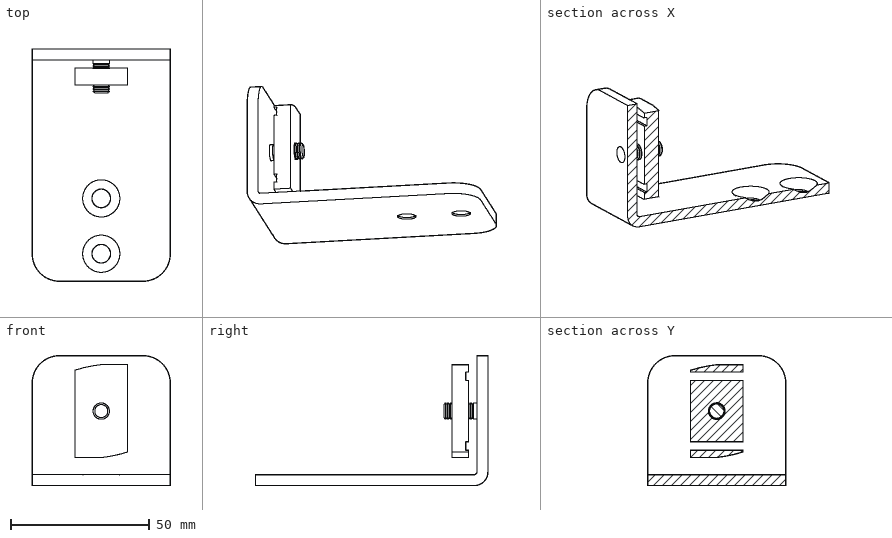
import cadquery as cq
import math

WIDTH = 50.0
LENGTH = 84.0
HEIGHT = 47.0
THICKNESS = 4.0
INNER_BEND_RADIUS = 1.0
OUTER_BEND_RADIUS = INNER_BEND_RADIUS + THICKNESS
CORNER_RADIUS = 10.0

SCREW_HOLE_DIAMETER = 6.6
COUNTERSINK_DIAMETER = 13.4
COUNTERSINK_ANGLE = 90.0
SCREW_HOLE_PITCH = 20.0
FRONT_HOLE_Y = -LENGTH + CORNER_RADIUS
SCREW_HOLE_YS = [FRONT_HOLE_Y, FRONT_HOLE_Y + SCREW_HOLE_PITCH]

BOLT_Z = 27.0
BOLT_RADIUS = 2.9
BOLT_LENGTH = 16.0
SHANK_LENGTH = 5.2
THREAD_DEPTH = 0.4
THREAD_PITCH = 0.9
THREAD_COUNT = 11
TIP_CHAMFER = BOLT_LENGTH - SHANK_LENGTH - THREAD_COUNT * THREAD_PITCH

CLAMP_WIDTH = 19.0
CLAMP_HEIGHT = 33.6
CLAMP_THICKNESS = 6.1
CLAMP_BACK_Y = -7.0
CORNER_DROP = 2.0
END_ARC_RADIUS = 50.4
GROOVE_WIDTH = 3.0
GROOVE_DEPTH = 1.0
GROOVE_END_MARGIN = 2.7


def make_bracket():
    """L-shaped plate with rounded corners, a bolt hole and two countersunk holes."""
    plate = (
        cq.Workplane("YZ")
        .polyline([
            (0, 0),
            (-LENGTH, 0),
            (-LENGTH, THICKNESS),
            (-THICKNESS, THICKNESS),
            (-THICKNESS, HEIGHT),
            (0, HEIGHT),
        ])
        .close()
        .extrude(WIDTH / 2, both=True)
    )
    inner_bend = cq.selectors.NearestToPointSelector((0, -THICKNESS, THICKNESS))
    outer_bend = cq.selectors.NearestToPointSelector((0, 0, 0))
    plate = plate.edges(inner_bend).fillet(INNER_BEND_RADIUS)
    plate = plate.edges(outer_bend).fillet(OUTER_BEND_RADIUS)
    plate = plate.faces("<Y").edges("|Z").fillet(CORNER_RADIUS)
    plate = plate.faces(">Z").edges("|Y").fillet(CORNER_RADIUS)

    plate = (
        plate.copyWorkplane(cq.Workplane("XY", origin=(0, 0, THICKNESS)))
        .pushPoints([(0, y) for y in SCREW_HOLE_YS])
        .cskHole(SCREW_HOLE_DIAMETER, COUNTERSINK_DIAMETER, COUNTERSINK_ANGLE)
    )
    return plate.cut(bolt_hole_cutter())


def bolt_hole_cutter():
    """Plain cylinder the size of the bolt, as long as the bolt."""
    return (
        cq.Workplane("XZ", origin=(0, 0, BOLT_Z))
        .circle(BOLT_RADIUS)
        .extrude(BOLT_LENGTH)
    )


def make_bolt():
    """Bolt turned about its axis: plain shank, V-shaped thread rings and a chamfered tip."""
    profile = (
        cq.Workplane("XY")
        .moveTo(0, 0)
        .lineTo(BOLT_RADIUS, 0)
        .lineTo(BOLT_RADIUS, -SHANK_LENGTH)
    )
    for ring in range(THREAD_COUNT):
        crest_y = -SHANK_LENGTH - ring * THREAD_PITCH
        profile = profile.lineTo(BOLT_RADIUS - THREAD_DEPTH, crest_y - THREAD_PITCH / 2)
        profile = profile.lineTo(BOLT_RADIUS, crest_y - THREAD_PITCH)
    profile = (
        profile.lineTo(BOLT_RADIUS - TIP_CHAMFER, -BOLT_LENGTH)
        .lineTo(0, -BOLT_LENGTH)
        .close()
    )
    return profile.revolve(360, (0, 0, 0), (0, 1, 0)).translate((0, 0, BOLT_Z))


def make_clamp():
    """Plate with one curved half at each end, two grooves across its back and a bolt hole."""
    half_width = CLAMP_WIDTH / 2
    half_height = CLAMP_HEIGHT / 2
    corner_height = half_height - CORNER_DROP
    half_chord = math.hypot(half_width, CORNER_DROP) / 2
    bulge = END_ARC_RADIUS - math.sqrt(END_ARC_RADIUS ** 2 - half_chord ** 2)
    plate = (
        cq.Workplane("XZ", origin=(0, CLAMP_BACK_Y, BOLT_Z))
        .moveTo(half_width, half_height)
        .lineTo(0, half_height)
        .sagittaArc((-half_width, corner_height), -bulge)
        .lineTo(-half_width, -half_height)
        .lineTo(0, -half_height)
        .sagittaArc((half_width, -corner_height), -bulge)
        .close()
        .extrude(CLAMP_THICKNESS)
    )
    groove_offset = half_height - GROOVE_END_MARGIN - GROOVE_WIDTH / 2
    grooves = (
        cq.Workplane("XZ", origin=(0, CLAMP_BACK_Y, BOLT_Z))
        .pushPoints([(0, -groove_offset), (0, groove_offset)])
        .rect(CLAMP_WIDTH, GROOVE_WIDTH)
        .extrude(GROOVE_DEPTH)
    )
    return plate.cut(grooves).cut(bolt_hole_cutter())


bracket = make_bracket()
bolt = make_bolt()
clamp = make_clamp()

result = cq.Compound.makeCompound([bracket.val(), bolt.val(), clamp.val()])